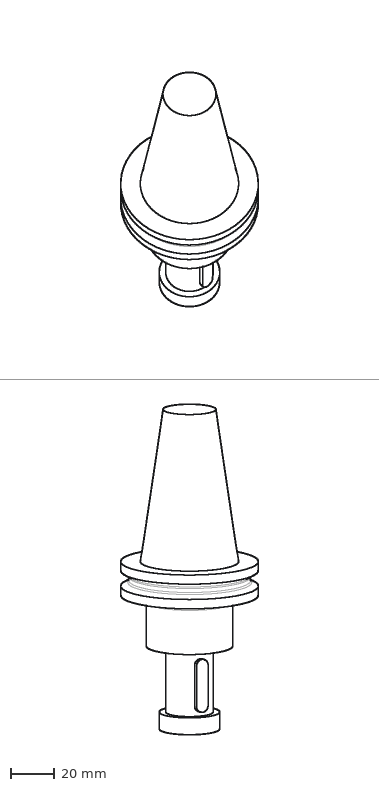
import cadquery as cq
import math

GAUGE_DIAMETER = 44.45
TAPER_RATIO = 7 / 24
TAPER_TOP = 68.4

FLANGE_DIAMETER = 63.55
FLANGE_TOP = -3.2
FLANGE_BOTTOM = -19.1

GROOVE_DIAMETER = 56.25
GROOVE_CENTER = -11.1
GROOVE_FLOOR_WIDTH = 3.0
GROOVE_WALL_ANGLE = 30.0
GROOVE_ROUND = 1.0

COLLAR_DIAMETER = 40.0
COLLAR_BOTTOM = -43.0
COLLAR_FILLET = 3.0

PILOT_DIAMETER = 22.0
HEAD_DIAMETER = 28.0
HEAD_HEIGHT = 8.0
PART_BOTTOM = -82.0

KEY_WIDTH = 6.0
KEY_LENGTH = 25.0
KEY_OUTER_X = 12.6
KEY_CENTER_Z = -59.5


def taper_radius(z):
    """Radius of the taper at height z."""
    return (GAUGE_DIAMETER - TAPER_RATIO * z) / 2


def cylinder(diameter, bottom, top):
    return cq.Workplane("XY").workplane(offset=bottom).circle(diameter / 2).extrude(top - bottom)


def revolve_about_z(sketch):
    return sketch.revolve(360, (0, 0, 0), (0, 1, 0))


def make_taper():
    profile = [
        (0, FLANGE_TOP),
        (taper_radius(FLANGE_TOP), FLANGE_TOP),
        (taper_radius(TAPER_TOP), TAPER_TOP),
        (0, TAPER_TOP),
    ]
    return revolve_about_z(cq.Workplane("XZ").polyline(profile).close())


def make_flange():
    """Flange disc with a V-shaped gripper groove rounded at both floor corners."""
    rim_radius = FLANGE_DIAMETER / 2
    floor_radius = GROOVE_DIAMETER / 2
    half_floor = GROOVE_FLOOR_WIDTH / 2
    wall_rise = (rim_radius - floor_radius) * math.tan(math.radians(GROOVE_WALL_ANGLE))
    half_mouth = half_floor + wall_rise
    profile = [
        (0, FLANGE_BOTTOM),
        (rim_radius, FLANGE_BOTTOM),
        (rim_radius, GROOVE_CENTER - half_mouth),
        (floor_radius, GROOVE_CENTER - half_floor),
        (floor_radius, GROOVE_CENTER + half_floor),
        (rim_radius, GROOVE_CENTER + half_mouth),
        (rim_radius, FLANGE_TOP),
        (0, FLANGE_TOP),
    ]
    disc = revolve_about_z(cq.Workplane("XZ").polyline(profile).close())
    floor_corners = disc.edges(cq.selectors.RadiusNthSelector(0))
    return floor_corners.fillet(GROOVE_ROUND)


def make_collar():
    """Collar with a concave fillet flaring out to the flange underside."""
    radius = COLLAR_DIAMETER / 2
    fillet_start = FLANGE_BOTTOM - COLLAR_FILLET
    flare_radius = radius + COLLAR_FILLET
    arc_offset = COLLAR_FILLET * math.sqrt(0.5)
    arc_middle = (flare_radius - arc_offset, fillet_start + arc_offset)
    profile = (
        cq.Workplane("XZ")
        .moveTo(0, COLLAR_BOTTOM)
        .lineTo(radius, COLLAR_BOTTOM)
        .lineTo(radius, fillet_start)
        .threePointArc(arc_middle, (flare_radius, FLANGE_BOTTOM))
        .lineTo(0, FLANGE_BOTTOM)
        .close()
    )
    return revolve_about_z(profile)


def make_key():
    """Round-ended drive key along the +X side of the pilot."""
    return (
        cq.Workplane("YZ")
        .center(0, KEY_CENTER_Z)
        .slot2D(KEY_LENGTH, KEY_WIDTH, 90)
        .extrude(KEY_OUTER_X)
    )


head_top = PART_BOTTOM + HEAD_HEIGHT
pilot = cylinder(PILOT_DIAMETER, head_top, COLLAR_BOTTOM)
head = cylinder(HEAD_DIAMETER, PART_BOTTOM, head_top)

result = (
    make_taper()
    .union(make_flange())
    .union(make_collar())
    .union(pilot)
    .union(head)
    .union(make_key())
)